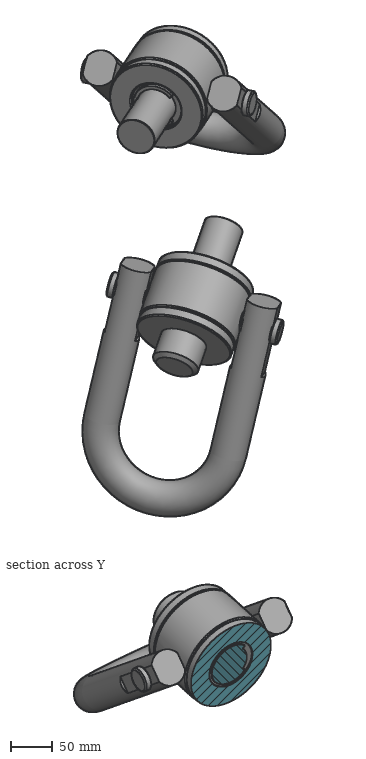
import cadquery as cq
import math


drum_radius = 60.5
drum_half_length = 32.2
flange_radius = 60.0
flange_thickness = 12.8
rim_chamfer = 1.5
housing_half_length = drum_half_length + flange_thickness

recess_radius = 32.0
recess_depth = 4.5
recess_chamfer = 1.5

shank_radius = 24.0
shank_end_y = -115.0
shank_chamfer = 0.5
head_radius = 28.7
head_end_y = 82.0
head_chamfer_length = 4.7
head_chamfer_depth = 5.5
collar_radius = 28.7
collar_thickness = 4.5
collar_gap_half_angle = 42
collar_corner_radius = 1.5

bar_radius = 22.2
flat_thickness = 38.5
flat_half_thickness = flat_thickness / 2
arm_x = drum_radius + flat_half_thickness
arm_top = 33.5
arm_straight = 168.0
hang_angle = 45
flat_length = 57.5
flat_ramp_run = 1.5
flat_ramp_rise = bar_radius - flat_half_thickness

pin_head_radius = 15.5
pin_head_chamfer = 2.0
pin_shank_radius = 13.0
pin_end_span = 215.8
pin_end_x = pin_end_span / 2
pin_inner_x = 46.8

spot_face_depth = 1.2
boss_chamfer = 2.0
boss_end_x = drum_radius + spot_face_depth
head_seat_x = arm_x + flat_half_thickness - spot_face_depth


def y_cylinder(radius, start_y, end_y):
    """Solid cylinder on the Y axis from start_y to end_y."""
    return cq.Workplane("XZ", origin=(0, start_y, 0)).circle(radius).extrude(start_y - end_y)


def x_cylinder(radius, start_x, end_x):
    """Solid cylinder on the X axis from start_x to end_x."""
    return cq.Workplane("YZ", origin=(start_x, 0, 0)).circle(radius).extrude(end_x - start_x)


def mirrored_pair(shape):
    """The shape and its mirror image across the plane X = 0."""
    return [shape.mirror("YZ"), shape]


def make_pins():
    head = x_cylinder(pin_head_radius, head_seat_x, pin_end_x).edges().chamfer(pin_head_chamfer)
    shank = x_cylinder(pin_shank_radius, pin_inner_x, head_seat_x)
    return mirrored_pair(head.union(shank))


def make_bosses():
    """Round bosses on the drum that the arms of the shackle rest against."""
    boss = x_cylinder(pin_head_radius, pin_inner_x, boss_end_x)
    return mirrored_pair(boss.faces(">X").chamfer(boss_chamfer))


def make_collar():
    """C-shaped collar on the stud, open toward +X and resting on the recess floor."""
    floor_y = recess_depth - housing_half_length
    collar = y_cylinder(collar_radius, floor_y, floor_y - collar_thickness)
    reach = 2 * collar_radius
    half_opening = reach * math.tan(math.radians(collar_gap_half_angle))
    opening = (
        cq.Workplane("XZ", origin=(0, floor_y, 0))
        .polyline([(0, 0), (reach, half_opening), (reach, -half_opening)])
        .close()
        .extrude(collar_thickness)
    )
    collar = collar.cut(opening)
    return collar.edges("|Y").edges(">X").fillet(collar_corner_radius)


def make_stud():
    shank = y_cylinder(shank_radius, shank_end_y, housing_half_length)
    shank = shank.faces("<Y").chamfer(shank_chamfer)
    head = y_cylinder(head_radius, housing_half_length, head_end_y)
    head = head.faces(">Y").edges().chamfer(head_chamfer_length, head_chamfer_depth)
    return shank.union(head).union(make_collar())


def make_housing(stud, pins):
    flanges = [
        y_cylinder(flange_radius, side * drum_half_length, side * housing_half_length)
        .edges()
        .chamfer(rim_chamfer)
        for side in (-1, 1)
    ]
    housing = y_cylinder(drum_radius, -drum_half_length, drum_half_length).edges().chamfer(rim_chamfer)
    for part in flanges + make_bosses():
        housing = housing.union(part)

    recess = y_cylinder(recess_radius, -housing_half_length, recess_depth - housing_half_length)
    housing = housing.cut(recess)
    smallest_circle = cq.selectors.RadiusNthSelector(0)
    housing = housing.faces("<Y").edges(smallest_circle).chamfer(recess_chamfer)

    housing = housing.cut(stud)
    for pin in pins:
        housing = housing.cut(pin)
    return housing


def make_flat_cutter(outward):
    """Material removed to leave a flat with a ramped end; outward is -1 or +1 from the arm axis."""
    ramp_slope = flat_ramp_run / flat_ramp_rise
    depth = 2 * flat_ramp_rise
    return (
        cq.Workplane("XZ", origin=(0, bar_radius, 0))
        .polyline(
            [
                (outward * flat_half_thickness, arm_top),
                (outward * flat_half_thickness, -flat_length),
                (outward * (flat_half_thickness + depth), -flat_length - depth * ramp_slope),
                (outward * (flat_half_thickness + depth), arm_top),
            ]
        )
        .close()
        .extrude(2 * bar_radius)
    )


def make_shackle(pins, housing):
    """The U is laid out hanging straight down, then swung about the pin axis."""
    path = (
        cq.Workplane("XZ")
        .moveTo(-arm_x, arm_top)
        .lineTo(-arm_x, -arm_straight)
        .threePointArc((0, -arm_straight - arm_x), (arm_x, -arm_straight))
        .lineTo(arm_x, arm_top)
    )
    shackle = cq.Workplane("XY", origin=(-arm_x, 0, arm_top)).circle(bar_radius).sweep(path)
    for side in (-1, 1):
        for outward in (-1, 1):
            shackle = shackle.cut(make_flat_cutter(outward).translate((side * arm_x, 0, 0)))
    shackle = shackle.rotate((0, 0, 0), (1, 0, 0), hang_angle)
    for neighbour in pins + [housing]:
        shackle = shackle.cut(neighbour)
    return shackle


pins = make_pins()
stud = make_stud()
housing = make_housing(stud, pins)
shackle = make_shackle(pins, housing)

result = cq.Compound.makeCompound(
    [housing.val(), stud.val(), shackle.val()] + [pin.val() for pin in pins]
)